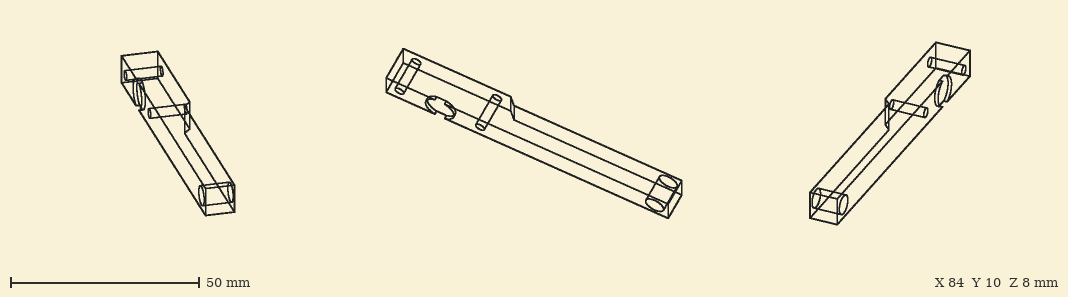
import cadquery as cq

length = 84.0
head_depth = 10.0
height = 8.0

shank_depth = 8.0
step_start = 32.0
step_run = head_depth - shank_depth

pin_diameter = 2.6
pin_positions = (3.95, 28.0)
pivot_diameter = 5.4
pivot_position = 80.0

pocket_diameter = 8.5
pocket_depth = 1.0
pocket_position = sum(pin_positions) / 2


def front_cylinder(x, diameter, depth):
    """Cylinder running back from the front face at mid-height."""
    center = cq.Vector(x, 0, height / 2)
    return cq.Workplane(cq.Solid.makeCylinder(diameter / 2, depth, center, cq.Vector(0, 1, 0)))


result = (
    cq.Workplane("XY")
    .moveTo(0, 0)
    .lineTo(length, 0)
    .lineTo(length, shank_depth)
    .lineTo(step_start + step_run, shank_depth)
    .lineTo(step_start, head_depth)
    .lineTo(0, head_depth)
    .close()
    .extrude(height)
)

for pin_position in pin_positions:
    result = result.cut(front_cylinder(pin_position, pin_diameter, head_depth))

result = result.cut(front_cylinder(pivot_position, pivot_diameter, head_depth))

result = result.cut(front_cylinder(pocket_position, pocket_diameter, pocket_depth))